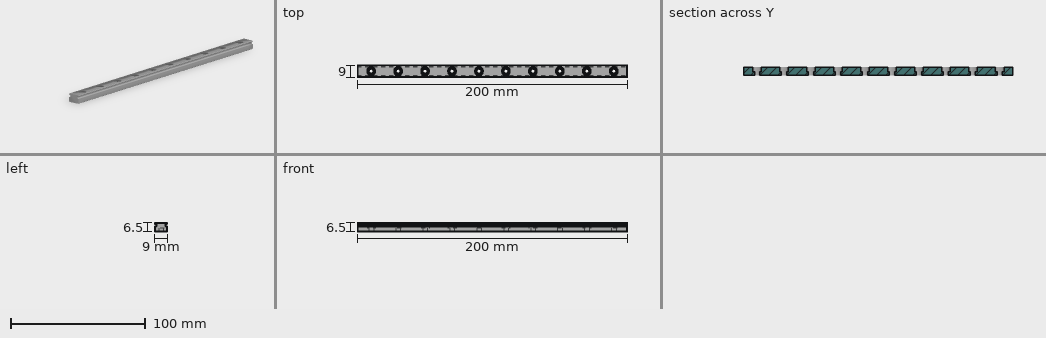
import cadquery as cq

length = 200.0
width = 9.0
height = 6.5
edge_chamfer = 0.2

groove_drop = 1.8
groove_radius = 1.0

relief_height = 0.6
relief_depth = 1.3

hole_pitch = 20.0
hole_count = round(length / hole_pitch)
hole_diameter = 3.5
counterbore_diameter = 6.0
counterbore_depth = 3.5

half_width = width / 2
groove_middle = height - groove_drop


def make_rail_body():
    """Bar along X with chamfered long edges, centred in X and Y with its base at Z = 0."""
    bar = cq.Workplane("XY").box(length, width, height, centered=(True, True, False))
    return bar.edges("|X").chamfer(edge_chamfer)


def cut_side_grooves(body):
    """Cut a half-round groove with its relief slot along both long sides."""
    groove_axes = [(-half_width, groove_middle), (half_width, groove_middle)]
    groove_plane = cq.Workplane("YZ").pushPoints(groove_axes)
    grooves = groove_plane.circle(groove_radius).extrude(length / 2, both=True)
    reliefs = groove_plane.rect(2 * relief_depth, relief_height).extrude(length / 2, both=True)
    return body.cut(grooves).cut(reliefs)


def cut_mounting_holes(body):
    """Cut one row of evenly spaced counterbored through holes from the top face."""
    return (
        body.faces(">Z")
        .workplane(centerOption="CenterOfBoundBox")
        .rarray(hole_pitch, 1, hole_count, 1)
        .cboreHole(hole_diameter, counterbore_diameter, counterbore_depth)
    )


result = cut_mounting_holes(cut_side_grooves(make_rail_body()))